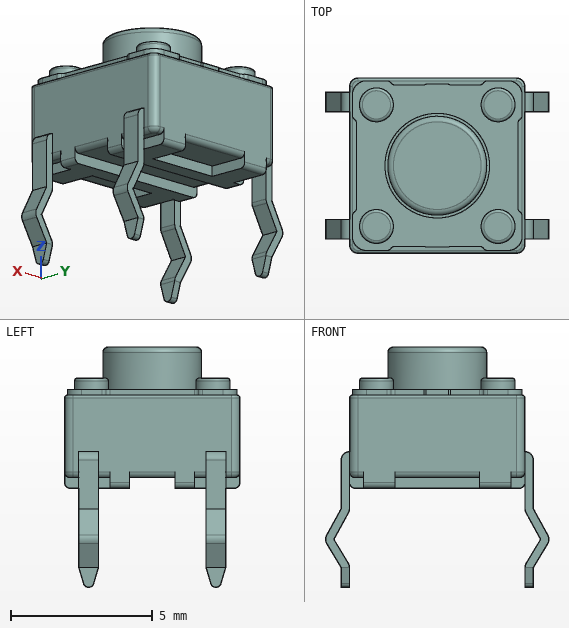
import cadquery as cq
import math

cover_side = 6.2
cover_half = cover_side / 2
cover_bottom = 0.38
cover_top = 3.3
cover_corner_radius = 0.3
cover_top_radius = 0.1
cover_bottom_radius = 0.2

tab_bottom_radius = 0.2
front_tab_inner = 1.5
front_tab_outer = 2.6
rib_inner = 0.8
rib_outer = 1.5
tab_overlap = 0.4

plate_side = 6.0
plate_half = plate_side / 2
plate_height = 0.2
plate_top = cover_top + plate_height
plate_corner_radius = 0.5
notch_depth = 0.15
notch_half_mouth = 1.78
notch_half_floor = 1.49
step_height = 0.03
step_half_top = 0.39
step_half_foot = 0.46

button_radius = 1.75
button_top = 5.0
button_edge_radius = 0.2
button_gap = 0.1

post_radius = 0.6
post_top = 3.9
post_edge_radius = 0.1
post_offset = 2.15

leg_width = 0.7
leg_thickness = 0.3
leg_offset = 2.25
leg_top = 1.3
leg_upper_bend = -0.72
leg_kink = -1.8
leg_lower_bend = -2.8
leg_tip = -3.5
leg_reach = 7.9 / 2
leg_tip_arc_start = -3.37
leg_tip_arc_half_width = 0.18


def make_cover():
    cover = cq.Workplane("XY", origin=(0, 0, cover_bottom))
    cover = cover.rect(cover_side, cover_side).extrude(cover_top - cover_bottom)
    cover = cover.edges("|Z").fillet(cover_corner_radius)
    cover = cover.faces(">Z").edges().fillet(cover_top_radius)
    return cover.faces("<Z").edges().fillet(cover_bottom_radius)


def make_tabs():
    """Two ribs along X, and front and back tabs that run inwards to meet them."""
    tab_height = cover_bottom + tab_overlap
    tabs = None
    rib_width = rib_outer - rib_inner
    tab_width = front_tab_outer - front_tab_inner
    tab_length = cover_half - rib_inner
    for y_sign in (-1, 1):
        rib = cq.Workplane("XY").box(cover_side, rib_width, tab_height, centered=(True, True, False))
        rib = rib.edges("|Y and <Z").fillet(tab_bottom_radius)
        rib = rib.translate((0, y_sign * (rib_inner + rib_outer) / 2, 0))
        tabs = rib if tabs is None else tabs.union(rib)
        outer_bottom_edge = "<Y" if y_sign < 0 else ">Y"
        for x_sign in (-1, 1):
            tab = cq.Workplane("XY").box(tab_width, tab_length, tab_height, centered=(True, True, False))
            tab = tab.faces("<Z").edges(outer_bottom_edge).fillet(tab_bottom_radius)
            tab_x = x_sign * (front_tab_inner + front_tab_outer) / 2
            tab_y = y_sign * (rib_inner + cover_half) / 2
            tabs = tabs.union(tab.translate((tab_x, tab_y, 0)))
    return tabs


def make_notch(is_stepped):
    """Shallow notch in the plate's -Y side; its ends are S-curves of two equal arcs."""
    mouth_y = -plate_half
    floor_y = mouth_y + notch_depth
    middle_x = (notch_half_mouth + notch_half_floor) / 2
    middle_y = (mouth_y + floor_y) / 2
    half_run = (notch_half_mouth - notch_half_floor) / 2
    half_rise = notch_depth / 2
    arc_radius = (half_run**2 + half_rise**2) / (2 * half_rise)
    notch = cq.Workplane("XY", origin=(0, 0, cover_top)).moveTo(-notch_half_mouth, mouth_y)
    notch = notch.radiusArc((-middle_x, middle_y), -arc_radius)
    notch = notch.radiusArc((-notch_half_floor, floor_y), arc_radius)
    if is_stepped:
        step_y = floor_y - step_height
        notch = notch.lineTo(-step_half_foot, floor_y).lineTo(-step_half_top, step_y)
        notch = notch.lineTo(step_half_top, step_y).lineTo(step_half_foot, floor_y)
    notch = notch.lineTo(notch_half_floor, floor_y)
    notch = notch.radiusArc((middle_x, middle_y), arc_radius)
    notch = notch.radiusArc((notch_half_mouth, mouth_y), -arc_radius)
    return notch.close().extrude(plate_height)


def make_plate():
    plate = cq.Workplane("XY", origin=(0, 0, cover_top))
    plate = plate.rect(plate_side, plate_side).extrude(plate_height)
    plate = plate.edges("|Z").fillet(plate_corner_radius)
    for quarter_turns in range(4):
        is_stepped = quarter_turns % 2 == 0
        notch = make_notch(is_stepped).rotate((0, 0, 0), (0, 0, 1), 90 * quarter_turns)
        plate = plate.cut(notch)
    return plate.cut(make_cylinder(button_radius + button_gap, cover_top, plate_top))


def make_cylinder(radius, bottom, top):
    return cq.Workplane("XY", origin=(0, 0, bottom)).circle(radius).extrude(top - bottom)


def make_button():
    button = make_cylinder(button_radius, cover_top, button_top)
    return button.faces(">Z").edges().fillet(button_edge_radius)


def make_post(x, y):
    post = make_cylinder(post_radius, plate_top, post_top)
    post = post.faces(">Z").edges().fillet(post_edge_radius)
    return post.translate((x, y, 0))


def get_lean(run, rise):
    """Angle from vertical of a leg stretch between two sharp corners on opposite faces."""
    return math.atan2(run, rise) + math.asin(leg_thickness / math.hypot(run, rise))


def make_leg():
    """Leg on the +X side, centred on Y = 0."""
    inner_x = cover_half
    outer_x = inner_x + leg_thickness
    kink_x = leg_reach - leg_thickness
    shoulder = leg_top - leg_thickness
    upper_lean = get_lean(kink_x - outer_x, leg_upper_bend - leg_kink)
    lower_lean = get_lean(kink_x - outer_x, leg_kink - leg_lower_bend)

    def point_on_bend(corner_x, corner_z, angle):
        x = corner_x + leg_thickness * math.cos(angle)
        z = corner_z + leg_thickness * math.sin(angle)
        return (x, z)

    def add_bend(outline, corner_x, corner_z, start, end):
        middle = point_on_bend(corner_x, corner_z, (start + end) / 2)
        return outline.threePointArc(middle, point_on_bend(corner_x, corner_z, end))

    profile = cq.Workplane("XZ").moveTo(inner_x, leg_top)
    profile = add_bend(profile, inner_x, shoulder, math.pi / 2, 0)
    profile = profile.lineTo(outer_x, leg_upper_bend)
    profile = profile.lineTo(*point_on_bend(kink_x, leg_kink, upper_lean))
    profile = profile.threePointArc((leg_reach, leg_kink), point_on_bend(kink_x, leg_kink, -lower_lean))
    profile = profile.lineTo(outer_x, leg_lower_bend).lineTo(outer_x, leg_tip)
    profile = profile.lineTo(inner_x, leg_tip).lineTo(inner_x, leg_lower_bend)
    profile = add_bend(profile, outer_x, leg_lower_bend, math.pi, math.pi - lower_lean)
    profile = profile.lineTo(kink_x, leg_kink)
    profile = profile.lineTo(*point_on_bend(outer_x, leg_upper_bend, math.pi + upper_lean))
    profile = add_bend(profile, outer_x, leg_upper_bend, math.pi + upper_lean, math.pi).close()
    leg = profile.extrude(leg_width / 2, both=True)

    half_width = leg_width / 2
    outline = cq.Workplane("YZ").moveTo(-half_width, leg_top).lineTo(-half_width, leg_lower_bend)
    outline = outline.lineTo(-leg_tip_arc_half_width, leg_tip_arc_start)
    outline = outline.threePointArc((0, leg_tip), (leg_tip_arc_half_width, leg_tip_arc_start))
    outline = outline.lineTo(half_width, leg_lower_bend).lineTo(half_width, leg_top).close()
    return leg.intersect(outline.extrude(leg_reach))


result = make_cover().union(make_tabs()).union(make_plate()).union(make_button())
for x_sign in (-1, 1):
    leg_turn = 0 if x_sign > 0 else 180
    side_leg = make_leg().rotate((0, 0, 0), (0, 0, 1), leg_turn)
    for y_sign in (-1, 1):
        result = result.union(make_post(x_sign * post_offset, y_sign * post_offset))
        result = result.union(side_leg.translate((0, y_sign * leg_offset, 0)))